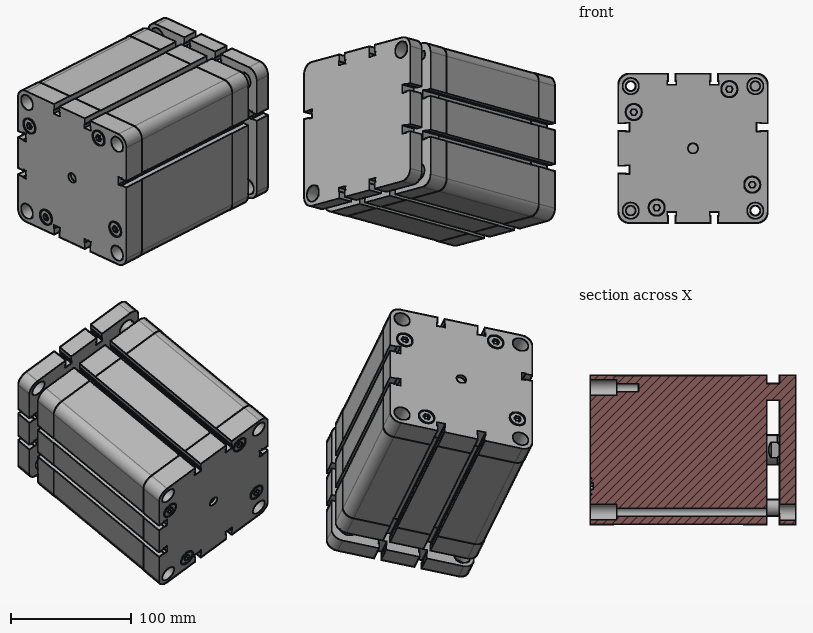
import cadquery as cq

SIDE = 124.0
HALF_SIDE = SIDE / 2
CORNER_RADIUS = 9.3

TOTAL_LENGTH = 170.5
PLATE_THICKNESS = 13.75
PLATE_GAP = 10.25
CAP_LENGTH = 19.0
PLATE_START = TOTAL_LENGTH - PLATE_THICKNESS
BODY_LENGTH = PLATE_START - PLATE_GAP
BARREL_END = BODY_LENGTH - CAP_LENGTH
BARREL_INSET = 0.25

SLOT_OFFSET = 17.6
SLOT_NECK_WIDTH = 6.1
SLOT_NECK_DEPTH = 6.0
SLOT_WIDTH = 7.2
SLOT_DEPTH = 9.2

CORNER_HOLE_OFFSET = 51.6
CORNER_HOLE_DIAMETER = 8.0
CORNER_BORE_DIAMETER = 13.5
CORNER_BORE_DEPTH = 22.0
CORNER_BLIND_DEPTH = 40.0
PLATE_HOLE_DIAMETER = 14.0

CENTRE_HOLE_DIAMETER = 8.38
CENTRE_HOLE_DEPTH = 3.0

SCREW_NEAR = 30.1
SCREW_FAR = 49.1
SCREW_HEAD_DIAMETER = 13.0
SCREW_BORE_DIAMETER = 13.7
SCREW_BORE_DEPTH = 1.0
SOCKET_SIDES = 6
SOCKET_ACROSS_FLATS = 5.0
SOCKET_DEPTH = 2.5

GUIDE_OFFSET = 48.0
GUIDE_DIAMETER = 14.0

ROD_DIAMETER = 25.0
ROD_CHAMFER_LENGTH = 1.5
ROD_CHAMFER_DEPTH = 0.7
FLATS_WIDTH = 21.5
FLATS_START = BODY_LENGTH + 3.4
FLATS_RUNOUT = 2.0


def along_y(start, x=0, z=0):
    """Workplane at Y = start, centred on (x, z); a negative extrusion runs toward +Y."""
    return cq.Workplane("XZ", origin=(x, start, z))


def cylinder(diameter, start, end, x=0, z=0):
    return along_y(start, x, z).circle(diameter / 2).extrude(start - end)


def t_slot(offset, inset):
    """Cutter for a slot opening to +Z, at X = offset, sunk deeper by the inset of the block."""
    floor = HALF_SIDE - SLOT_DEPTH - inset
    neck = along_y(0, offset, floor + SLOT_DEPTH / 2).rect(SLOT_NECK_WIDTH, SLOT_DEPTH)
    undercut_height = SLOT_DEPTH - SLOT_NECK_DEPTH
    undercut = along_y(0, offset, floor + undercut_height / 2).rect(SLOT_WIDTH, undercut_height)
    return neck.extrude(-TOTAL_LENGTH).union(undercut.extrude(-TOTAL_LENGTH))


def cut_slots(solid, inset):
    """Two slots on the +Z, -Z and -X sides, and one on the +X side."""
    slots_by_turn = {
        0: (-SLOT_OFFSET, SLOT_OFFSET),
        180: (-SLOT_OFFSET, SLOT_OFFSET),
        -90: (-SLOT_OFFSET, SLOT_OFFSET),
        90: (-SLOT_OFFSET,),
    }
    for turn, offsets in slots_by_turn.items():
        for offset in offsets:
            solid = solid.cut(t_slot(offset, inset).rotate((0, 0, 0), (0, 1, 0), turn))
    return solid


def slotted_block(start, end, inset=0):
    """Rounded square block with T-slots, all outer faces and slot floors sunk by inset."""
    size = SIDE - 2 * inset
    block = along_y(start).rect(size, size).extrude(start - end)
    return cut_slots(block.edges("|Y").fillet(CORNER_RADIUS - inset), inset)


def cut_corner_holes(body):
    """Counterbored holes: through on one diagonal, blind where the guide rods are."""
    for side_x in (-1, 1):
        for side_z in (-1, 1):
            x = side_x * CORNER_HOLE_OFFSET
            z = side_z * CORNER_HOLE_OFFSET
            depth = CORNER_BLIND_DEPTH if side_x == side_z else BODY_LENGTH
            body = body.cut(cylinder(CORNER_HOLE_DIAMETER, 0, depth, x, z))
            body = body.cut(cylinder(CORNER_BORE_DIAMETER, 0, CORNER_BORE_DEPTH, x, z))
    return body


def add_screw(body, x, z):
    """Narrow ring around a flush screw head with a hexagon socket."""
    ring = cylinder(SCREW_BORE_DIAMETER, 0, SCREW_BORE_DEPTH, x, z)
    ring = ring.cut(cylinder(SCREW_HEAD_DIAMETER, 0, SCREW_BORE_DEPTH, x, z))
    socket = along_y(0, x, z).transformed(rotate=(0, 0, 180 / SOCKET_SIDES))
    socket = socket.polygon(SOCKET_SIDES, SOCKET_ACROSS_FLATS, circumscribed=True).extrude(-SOCKET_DEPTH)
    return body.cut(ring).cut(socket)


def make_body():
    body = slotted_block(0, CAP_LENGTH)
    body = body.union(slotted_block(CAP_LENGTH, BARREL_END, BARREL_INSET))
    body = body.union(slotted_block(BARREL_END, BODY_LENGTH))
    body = cut_corner_holes(body)
    body = body.cut(cylinder(CENTRE_HOLE_DIAMETER, 0, CENTRE_HOLE_DEPTH))
    for sign in (-1, 1):
        body = add_screw(body, sign * SCREW_NEAR, sign * SCREW_FAR)
        body = add_screw(body, sign * SCREW_FAR, -sign * SCREW_NEAR)
    return body


def make_plate():
    plate = slotted_block(PLATE_START, TOTAL_LENGTH)
    for sign in (-1, 1):
        x = sign * CORNER_HOLE_OFFSET
        plate = plate.cut(cylinder(PLATE_HOLE_DIAMETER, PLATE_START, TOTAL_LENGTH, x, -x))
    return plate


def make_piston_rod():
    radius = ROD_DIAMETER / 2
    rod = (
        cq.Workplane("XY")
        .moveTo(0, BODY_LENGTH)
        .lineTo(radius, BODY_LENGTH)
        .lineTo(radius, PLATE_START - ROD_CHAMFER_LENGTH)
        .lineTo(radius - ROD_CHAMFER_DEPTH, PLATE_START)
        .lineTo(0, PLATE_START)
        .close()
        .revolve(360, (0, 0), (0, 1))
    )
    flat = (
        cq.Workplane("XY")
        .moveTo(FLATS_WIDTH / 2, PLATE_START)
        .lineTo(FLATS_WIDTH / 2, FLATS_START)
        .lineTo(radius, FLATS_START - FLATS_RUNOUT)
        .lineTo(radius, PLATE_START)
        .close()
        .extrude(radius, both=True)
    )
    return rod.cut(flat).cut(flat.mirror("YZ"))


def make_guide_rod(sign):
    offset = sign * GUIDE_OFFSET
    return cylinder(GUIDE_DIAMETER, BODY_LENGTH, PLATE_START, offset, offset)


result = make_body().union(make_plate()).union(make_piston_rod())
result = result.union(make_guide_rod(-1)).union(make_guide_rod(1))